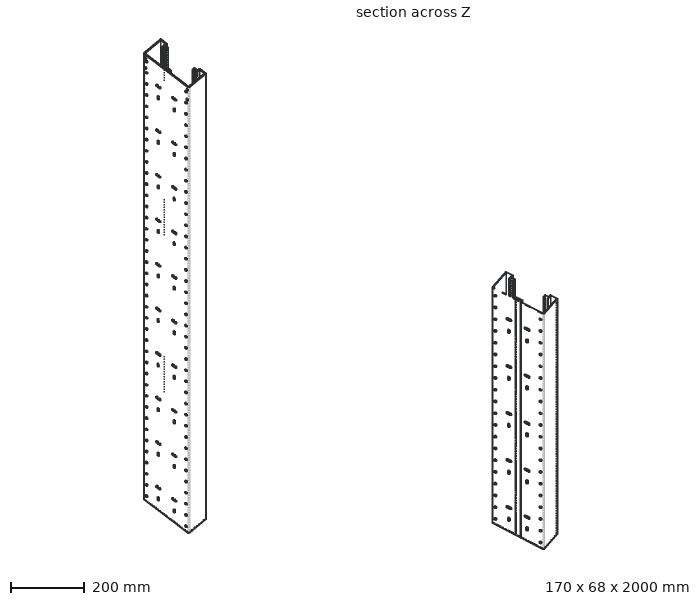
import cadquery as cq

width = 170.0
depth = 68.0
length = 2000.0
half_width = width / 2

sheet = 3.2
corner_radius = 3.5
flange_reach = 25.0
lip_reach = 35.0
lip_inset = 8.0
lip_drop = 15.0
rib_width = 20.0
rib_top = 10.0

edge_hole_diameter = 5.0
edge_hole_x = 75.0
edge_hole_pitch = 50.0
edge_hole_start = 22.0

end_hole_diameter = 5.0
end_hole_x = 78.0
end_hole_drops = (15.0, 60.0)

slot_x = 30.0
slot_pitch = 200.0
cross_slot_length = 15.0
cross_slot_width = 5.0
cross_slot_start = 100.0
upright_slot_length = 12.0
upright_slot_width = 5.0
upright_slot_start = 50.0


def bar(x0, x1, y0, y1):
    """Full-length bar whose section spans x0..x1 and y0..y1."""
    return cq.Workplane("XY").box(x1 - x0, y1 - y0, length, centered=False).translate((x0, y0, 0))


def channel():
    """C-channel: web, two side walls and the two flanges beside the mouth."""
    inside = half_width - sheet
    mouth = half_width - flange_reach
    outer = bar(-half_width, half_width, 0, depth).edges("|Z and <Y").fillet(corner_radius)
    inner = bar(-inside, inside, sheet, depth - sheet).edges("|Z and <Y").fillet(corner_radius - sheet)
    return outer.cut(inner).cut(bar(-mouth, mouth, depth / 2, depth))


def lip():
    """Folded lip on the +X flange: a near leg, a bridge and a far leg."""
    near_leg = half_width - flange_reach
    far_leg = half_width - lip_reach
    bottom = depth - lip_drop
    top = depth - lip_inset
    folded = bar(near_leg, near_leg + sheet, bottom, depth)
    folded = folded.union(bar(far_leg, near_leg + sheet, top - sheet, top))
    return folded.union(bar(far_leg, far_leg + sheet, bottom, top))


def rib():
    """Hollow rib of sheet thickness standing on the web."""
    half_rib = rib_width / 2
    half_hollow = half_rib - sheet
    return bar(-half_rib, half_rib, 0, rib_top).cut(bar(-half_hollow, half_hollow, sheet, rib_top - sheet))


def repeated(start, pitch):
    """Heights from start up to the end of the channel."""
    count = int((length - start) / pitch) + 1
    return [start + step * pitch for step in range(count)]


def web_points(x, heights):
    """Points on the web, at the given heights on both sides of the centre line."""
    return cq.Workplane("XZ").pushPoints([(side * x, z) for side in (-1, 1) for z in heights])


right_lip = lip()
result = channel().union(right_lip).union(right_lip.mirror("YZ")).union(rib())

edge_heights = repeated(edge_hole_start, edge_hole_pitch)
end_heights = [length - drop for drop in end_hole_drops]
cross_heights = repeated(cross_slot_start, slot_pitch)
upright_heights = repeated(upright_slot_start, slot_pitch)

web_openings = (
    web_points(edge_hole_x, edge_heights).circle(edge_hole_diameter / 2),
    web_points(end_hole_x, end_heights).circle(end_hole_diameter / 2),
    web_points(slot_x, cross_heights).slot2D(cross_slot_length, cross_slot_width),
    web_points(slot_x, upright_heights).slot2D(upright_slot_length, upright_slot_width, 90),
)
cut_depth = 2 * sheet
for openings in web_openings:
    result = result.cut(openings.extrude(-cut_depth))